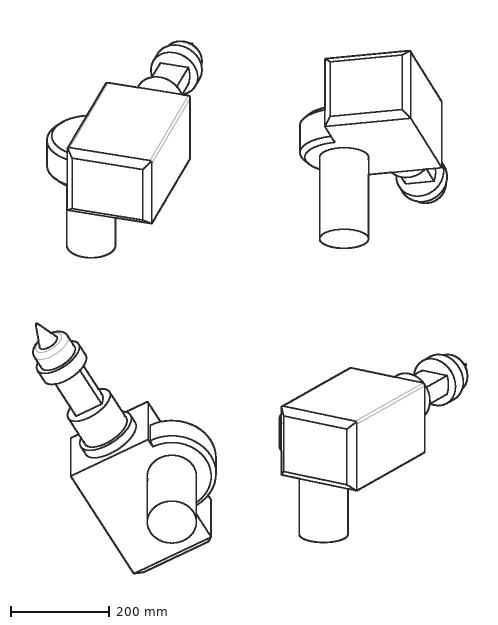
import cadquery as cq

POST_DIAMETER = 100.0
POST_HEIGHT = 180.0
DISC_DIAMETER = 180.0
DISC_HEIGHT = 80.0
DISC_CHAMFER = 10.0

HEAD_WIDTH = 180.0
HEAD_HEIGHT = 150.0
HEAD_FRONT_Y = -180.0
HEAD_BACK_Y = 100.0
HEAD_FRONT_BEVEL = 15.0
HEAD_TOP_ROUND = 5.0

SPINDLE_OFFSET = 2.5
FLANGE_DIAMETER = 120.0
FLANGE_LENGTH = 20.0
SLEEVE_DIAMETER = 100.0
SLEEVE_LENGTH = 70.0
BAR_LENGTH = 100.0
BAR_WIDTH = 66.0
BAR_FLAT_WIDTH = 59.5
BAR_THICKNESS = 40.0
COLLAR_DIAMETER = 100.0
COLLAR_LENGTH = 30.0
NOSE_DIAMETER = 80.0
NOSE_LENGTH = 40.0
NOSE_ROUND = 10.0
CONE_BASE_DIAMETER = 41.5
CONE_TIP_DIAMETER = 4.0
TOTAL_LENGTH = 590

SPINDLE_X = HEAD_WIDTH / 2 - SPINDLE_OFFSET
SPINDLE_Z = POST_HEIGHT + HEAD_HEIGHT / 2


def spindle_plane(y):
    """Plane across the spindle axis at y, with its normal along +Y."""
    return cq.Workplane("XZ", origin=(SPINDLE_X, y, SPINDLE_Z)).transformed(rotate=(180, 0, 0))


def spindle_cylinder(y, diameter, length):
    return spindle_plane(y).circle(diameter / 2).extrude(length)


def make_support():
    post = cq.Workplane("XY").circle(POST_DIAMETER / 2).extrude(POST_HEIGHT)
    disc = cq.Workplane("XY", origin=(0, 0, POST_HEIGHT)).circle(DISC_DIAMETER / 2).extrude(DISC_HEIGHT)
    return post.union(disc.edges("%CIRCLE").chamfer(DISC_CHAMFER))


def make_head():
    length = HEAD_BACK_Y - HEAD_FRONT_Y
    head = cq.Workplane("XY").box(HEAD_WIDTH, length, HEAD_HEIGHT, centered=False)
    head = head.translate((0, HEAD_FRONT_Y, POST_HEIGHT))
    bevelled = head.faces("<Y").chamfer(HEAD_FRONT_BEVEL)
    rounded = head.faces(">Z").edges("|Y").fillet(HEAD_TOP_ROUND)
    return bevelled.intersect(rounded)


def make_bar(y):
    """Bar with flat top and bottom and bulging sides."""
    corner_x = BAR_FLAT_WIDTH / 2
    side_x = BAR_WIDTH / 2
    corner_z = BAR_THICKNESS / 2
    return (
        spindle_plane(y)
        .moveTo(-corner_x, corner_z)
        .lineTo(corner_x, corner_z)
        .threePointArc((side_x, 0), (corner_x, -corner_z))
        .lineTo(-corner_x, -corner_z)
        .threePointArc((-side_x, 0), (-corner_x, corner_z))
        .close()
        .extrude(BAR_LENGTH)
    )


def make_cone(y, length):
    return (
        spindle_plane(y)
        .circle(CONE_BASE_DIAMETER / 2)
        .workplane(offset=length)
        .circle(CONE_TIP_DIAMETER / 2)
        .loft(ruled=True)
    )


def make_spindle():
    sleeve_y = HEAD_BACK_Y + FLANGE_LENGTH
    bar_y = sleeve_y + SLEEVE_LENGTH
    collar_y = bar_y + BAR_LENGTH
    nose_y = collar_y + COLLAR_LENGTH
    cone_y = nose_y + NOSE_LENGTH
    tip_y = HEAD_FRONT_Y + TOTAL_LENGTH

    nose = spindle_cylinder(nose_y, NOSE_DIAMETER, NOSE_LENGTH)
    return (
        spindle_cylinder(HEAD_BACK_Y, FLANGE_DIAMETER, FLANGE_LENGTH)
        .union(spindle_cylinder(sleeve_y, SLEEVE_DIAMETER, SLEEVE_LENGTH))
        .union(make_bar(bar_y))
        .union(spindle_cylinder(collar_y, COLLAR_DIAMETER, COLLAR_LENGTH))
        .union(nose.faces(">Y").edges().fillet(NOSE_ROUND))
        .union(make_cone(cone_y, tip_y - cone_y))
    )


result = make_support().union(make_head()).union(make_spindle())